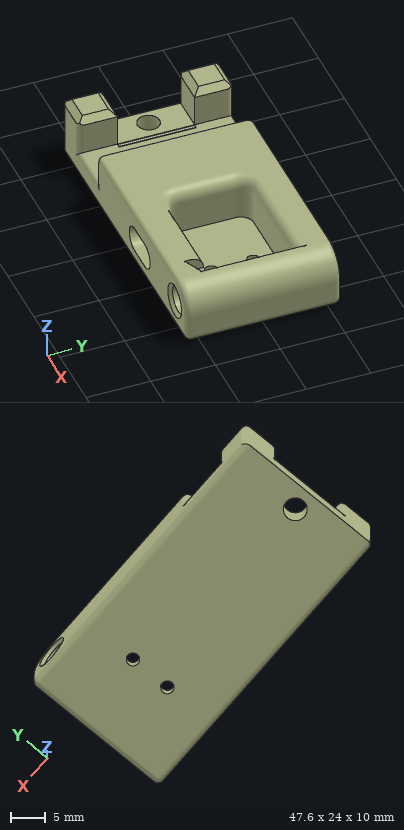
import cadquery as cq

length = 47.6
width = 24.0
post_height = 10.0
edge_round = 1.0

floor_height = 4.0
body_height = post_height - edge_round
body_start = 13.05
post_size = 6.05

end_radius = 4.5
bore_x = length - end_radius
bore_z = body_height - end_radius
bore_diameter = 4.2
bore_mouth_diameter = 5.25
bore_chamfer = (bore_mouth_diameter - bore_diameter) / 2

recess_start = 25.5
recess_end = 43.5
recess_width = 12.95
recess_floor = 1.8
recess_corner = 2.0
lip_radius = 2.0

notch_start = 40.45
notch_depth = 2.0
notch_long_side = 2.95
notch_short_side = 1.5

slot_start = 25.6
slot_length = 8.0
slot_height = 4.0
slot_z = 4.25

mount_hole_diameter = 3.4
mount_hole_x = 3.15
pin_hole_diameter = 1.9
pin_hole_x = 35.35
pin_hole_spacing = 6.45

groove_end = 6.65
groove_depth = 0.1


def block(x_start, x_end, y_start, y_end, height):
    """Box standing on the base plane, given by its limits."""
    return cq.Workplane("XY").box(
        x_end - x_start, y_end - y_start, height, centered=False
    ).translate((x_start, y_start, 0))


def make_floor():
    plate = block(0, length, -width / 2, width / 2, floor_height)
    return plate.edges("not (<X and <Z)").fillet(edge_round)


def make_body():
    body = (
        cq.Workplane("XZ")
        .moveTo(body_start, 0)
        .lineTo(length, 0)
        .lineTo(length, bore_z)
        .radiusArc((bore_x, body_height), -end_radius)
        .lineTo(body_start, body_height)
        .close()
        .extrude(width / 2, both=True)
    )
    return body.edges("not (<X and <Z)").fillet(edge_round)


def make_post():
    """Post on the -Y side, with a beveled top and all but its inner rear corner rounded."""
    limits = (0, post_size, -width / 2, post_size - width / 2, post_height)
    rounded = block(*limits).edges("(|Z and (not (>X and >Y))) or (<Y and <Z)").fillet(edge_round)
    beveled = block(*limits).faces(">Z").chamfer(edge_round)
    return rounded.intersect(beveled)


def make_recess():
    """Straight-walled recess, rounded at its two corners away from the far wall."""
    recess = block(recess_start, recess_end, -recess_width / 2, recess_width / 2, body_height)
    recess = recess.edges("|Z and <X").fillet(recess_corner)
    return recess.translate((0, 0, recess_floor))


def make_lip_cutter():
    """Material removed to round the lip, as a slab with a lipped pocket in it."""
    margin = 2 * lip_radius
    slab_width = recess_width + 2 * margin
    slab = block(
        recess_start - margin, recess_end, -slab_width / 2, slab_width / 2, body_height
    )
    sharp = slab.cut(make_recess())
    lip_edges = cq.selectors.BoxSelector(
        (recess_start - 0.48, -recess_width / 2 - 0.48, body_height - 0.48),
        (recess_end - 0.48, recess_width / 2 + 0.48, body_height + 0.48),
    )
    rounded = sharp.edges(lip_edges).fillet(lip_radius)
    return sharp.cut(rounded)


def make_notch():
    """Trapezoidal cut-out in the lip beside the far wall."""
    inner_y = -recess_width / 2
    return (
        cq.Workplane("XY", origin=(0, 0, body_height - notch_depth))
        .polyline([
            (notch_start, inner_y),
            (recess_end, inner_y),
            (recess_end, inner_y - notch_short_side),
            (notch_start, inner_y - notch_long_side),
        ])
        .close()
        .extrude(notch_depth)
    )


def make_cross_bore():
    """Bore along Y with a countersink at each mouth."""
    bore = (
        cq.Workplane("XZ")
        .center(bore_x, bore_z)
        .circle(bore_diameter / 2)
        .extrude(width / 2, both=True)
    )
    front_mouth = (
        cq.Workplane("XZ", origin=(bore_x, -width / 2, bore_z))
        .circle(bore_mouth_diameter / 2)
        .extrude(-bore_chamfer, taper=45)
    )
    return bore.union(front_mouth).union(front_mouth.mirror("XZ"))


def make_side_slot():
    """Slot through the -Y wall of the recess."""
    return (
        cq.Workplane("XZ", origin=(slot_start + slot_length / 2, -width / 2, slot_z))
        .slot2D(slot_length, slot_height)
        .extrude(-width / 2)
    )


def make_vertical_holes():
    mount_hole = (
        cq.Workplane("XY")
        .center(mount_hole_x, 0)
        .circle(mount_hole_diameter / 2)
        .extrude(body_height)
    )
    pin_holes = (
        cq.Workplane("XY")
        .pushPoints([(pin_hole_x, side * pin_hole_spacing / 2) for side in (-1, 1)])
        .circle(pin_hole_diameter / 2)
        .extrude(body_height)
    )
    return mount_hole.union(pin_holes)


def make_groove():
    half_gap = width / 2 - post_size
    groove = block(post_size, groove_end, -half_gap, half_gap, groove_depth)
    return groove.translate((0, 0, floor_height - groove_depth))


post = make_post()
result = make_floor().union(make_body()).union(post).union(post.mirror("XZ"))
for cutter in (
    make_recess(),
    make_lip_cutter(),
    make_notch(),
    make_cross_bore(),
    make_side_slot(),
    make_vertical_holes(),
    make_groove(),
):
    result = result.cut(cutter)